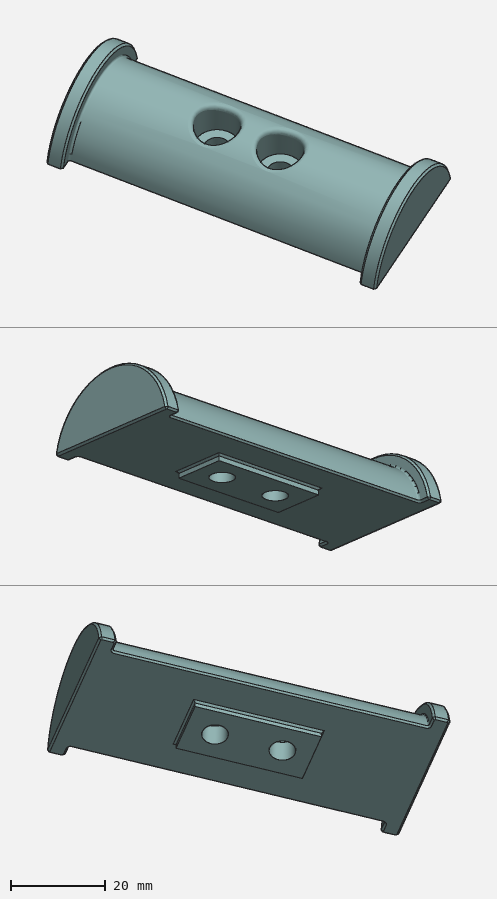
import cadquery as cq
import math

length = 78.0
flange_radius = 18.0
body_radius = 15.05
axis_depth = 3.0
flange_width = 3.9
edge_chamfer = 0.5
root_fillet = 0.5

pad_length = 28.1
pad_width = 12.8
pad_height = 1.55
pad_root_chamfer = 0.5

hole_spacing = 15.0
hole_diameter = 5.6
counterbore_diameter = 10.0
counterbore_floor = 3.9
counterbore_lip_fillet = 1.0
lip_search_margin = 0.8
hole_centers = [(-hole_spacing / 2, 0), (hole_spacing / 2, 0)]


def spool():
    """Flanged spool, cut flat by the base and chamfered around its underside."""
    end_x = length / 2
    inner_x = end_x - flange_width
    rim = flange_radius - edge_chamfer
    bend = root_fillet * (1 - math.sqrt(0.5))
    half_spool = (
        cq.Workplane("XY")
        .lineTo(end_x, 0)
        .lineTo(end_x, rim)
        .lineTo(end_x - edge_chamfer, flange_radius)
        .lineTo(inner_x + edge_chamfer, flange_radius)
        .lineTo(inner_x, rim)
        .lineTo(inner_x, body_radius + root_fillet)
        .threePointArc(
            (inner_x - bend, body_radius + bend),
            (inner_x - root_fillet, body_radius),
        )
        .lineTo(0, body_radius)
    )
    full_round = (
        half_spool.mirrorY()
        .revolve(360, (0, 0, 0), (1, 0, 0))
        .translate((0, 0, -axis_depth))
    )
    above_base = cq.Workplane("XY").box(
        2 * length, 4 * flange_radius, 2 * flange_radius, centered=(True, True, False)
    )
    return full_round.intersect(above_base).faces("<Z").edges().chamfer(edge_chamfer)


def add_counterbores(saddle):
    """Sink a counterbore at each hole and round its lip on the curved surface."""
    bores = (
        cq.Workplane("XY", origin=(0, 0, counterbore_floor))
        .pushPoints(hole_centers)
        .circle(counterbore_diameter / 2)
        .extrude(body_radius)
    )
    saddle = saddle.cut(bores)
    reach = counterbore_diameter / 2 + lip_search_margin
    for x, y in hole_centers:
        lip_zone = cq.selectors.BoxSelector(
            (x - reach, y - reach, counterbore_floor + lip_search_margin),
            (x + reach, y + reach, body_radius),
            boundingbox=True,
        )
        saddle = saddle.edges(lip_zone).edges("not %LINE").fillet(counterbore_lip_fillet)
    return saddle


def pad():
    """Rectangular pad widening by a small chamfer where it meets the base."""
    block = cq.Workplane("XY").rect(pad_length, pad_width).extrude(-pad_height)
    root = (
        cq.Workplane("XY")
        .rect(pad_length + 2 * pad_root_chamfer, pad_width + 2 * pad_root_chamfer)
        .extrude(-pad_root_chamfer, taper=45)
    )
    return block.union(root)


def screw_holes():
    """Through holes from the pad up into the counterbores."""
    return (
        cq.Workplane("XY", origin=(0, 0, -pad_height))
        .pushPoints(hole_centers)
        .circle(hole_diameter / 2)
        .extrude(pad_height + body_radius)
    )


result = add_counterbores(spool()).union(pad()).cut(screw_holes())